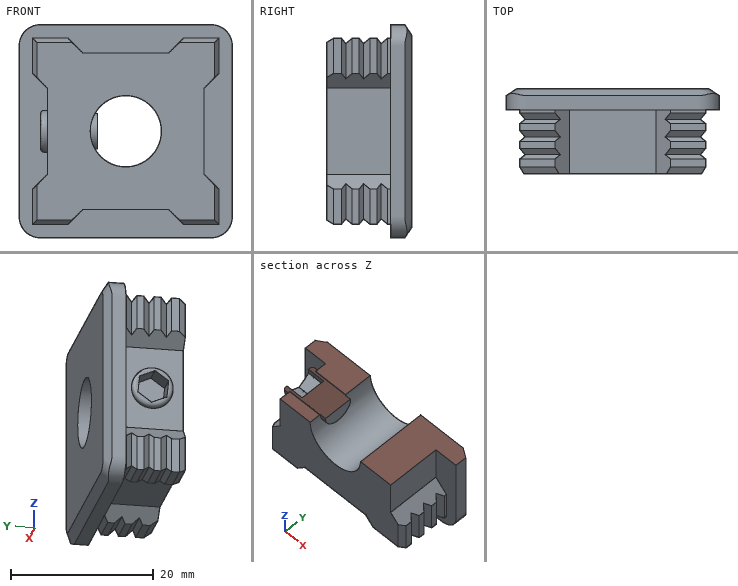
import cadquery as cq
import math


flange_width = 30.0
flange_thickness = 3.0
flange_corner_radius = 3.0
bevel_height = 1.0
bevel_inset = 1.5
bevel_corner_radius = 1.5

plug_width = 26.2
plug_length = 9.0
bore_diameter = 10.0
lead_in_height = 1.0
lead_in_depth = 0.6

groove_count = 3
groove_pitch = 2.5
groove_depth = 0.75
first_groove_start = 0.42
groove_steep_height = 0.9
groove_shallow_height = 0.6

recess_floor_width = 12.12
recess_depth = 2.07
recess_wall_angle = 45.0

head_diameter = 5.9
head_height = 0.95
head_edge_radius = 0.55
shank_diameter = 5.0
shank_length = 7.08
head_seat_x = recess_depth - plug_width / 2
screw_y = -plug_length / 2
socket_diameter = head_diameter - 2 * head_edge_radius
socket_depth = 3.0
socket_turn = 6.0


def plane_at(y):
    """Sketch plane at height y, facing -Y, with its local x along X and its local y along Z."""
    return cq.Workplane("XZ", origin=(0, y, 0))


def rounded_square_sketch(width, radius):
    """Flat square profile with rounded corners."""
    return cq.Sketch().rect(width, width).vertices().fillet(radius)


def rounded_square(y, width, radius):
    """Square with rounded corners at height y, ready to extrude."""
    return plane_at(y).placeSketch(rounded_square_sketch(width, radius))


def make_flange():
    """Rounded square plate whose back edges are bevelled."""
    plate = rounded_square(flange_thickness, flange_width, flange_corner_radius).extrude(flange_thickness)
    bevel_start = flange_thickness - bevel_height
    core = rounded_square(bevel_start, flange_width, bevel_corner_radius).extrude(bevel_start)
    back_profile = rounded_square_sketch(flange_width - 2 * bevel_inset, bevel_corner_radius)
    front_profile = rounded_square_sketch(flange_width, bevel_corner_radius)
    front_profile = front_profile.moved(cq.Location(cq.Vector(0, 0, bevel_height)))
    bevel = plane_at(flange_thickness).placeSketch(back_profile, front_profile).loft(ruled=True)
    return plate.intersect(core.union(bevel))


def square_frustum(y_start, width_start, y_end, width_end):
    """Square-section block between two heights, with straight sloping sides."""
    return (
        plane_at(y_start)
        .rect(width_start, width_start)
        .workplane(offset=y_start - y_end)
        .rect(width_end, width_end)
        .loft(ruled=True)
    )


def cut_groove(plug, depth_along_plug):
    """Remove a V groove running around all four sides, starting at the given distance from the flange."""
    start = -depth_along_plug
    valley = start - groove_steep_height
    end = valley - groove_shallow_height
    root_width = plug_width - 2 * groove_depth
    band = plane_at(start).rect(flange_width, flange_width).extrude(start - end)
    kept_core = square_frustum(start, plug_width, valley, root_width).union(
        square_frustum(valley, root_width, end, plug_width)
    )
    return plug.cut(band.cut(kept_core))


def make_recess():
    """Trapezoidal cutter for the recess on the +Z side, running the full plug length."""
    outer_z = flange_width / 2
    floor_z = plug_width / 2 - recess_depth
    spread = (outer_z - floor_z) / math.tan(math.radians(recess_wall_angle))
    half_floor = recess_floor_width / 2
    return (
        plane_at(0)
        .polyline([
            (-half_floor, floor_z),
            (half_floor, floor_z),
            (half_floor + spread, outer_z),
            (-half_floor - spread, outer_z),
        ])
        .close()
        .extrude(plug_length)
    )


def make_plug():
    """Square plug with a tapered lead-in, barbs and four side recesses."""
    lead_in_start = -plug_length + lead_in_height
    plug = plane_at(0).rect(plug_width, plug_width).extrude(-lead_in_start)
    plug = plug.union(
        square_frustum(lead_in_start, plug_width, -plug_length, plug_width - 2 * lead_in_depth)
    )
    for index in range(groove_count):
        plug = cut_groove(plug, first_groove_start + index * groove_pitch)
    recess = make_recess()
    for quarter in range(4):
        plug = plug.cut(recess.rotate((0, 0, 0), (0, 1, 0), 90 * quarter))
    return plug


def screw_plane(x):
    """Sketch plane at position x, facing +X and centred on the screw axis."""
    return cq.Workplane("YZ", origin=(x, screw_y, 0))


def make_insert():
    """Flange and plug in one piece, with the bore and the cross hole for the screw."""
    bore = plane_at(flange_thickness).circle(bore_diameter / 2).extrude(flange_thickness + plug_length)
    cross_hole = screw_plane(head_seat_x).circle(shank_diameter / 2).extrude(-head_seat_x)
    return make_flange().union(make_plug()).cut(bore).cut(cross_hole)


def make_screw():
    """Screw with a round-edged head and a hexagon socket."""
    head_face_x = head_seat_x - head_height
    head = screw_plane(head_face_x).circle(head_diameter / 2).extrude(head_height)
    head = head.faces("<X").edges().fillet(head_edge_radius)
    shank = screw_plane(head_seat_x).circle(shank_diameter / 2).extrude(shank_length)
    socket = (
        screw_plane(head_face_x)
        .transformed(rotate=(0, 0, 90 + socket_turn))
        .polygon(6, socket_diameter)
        .extrude(socket_depth)
    )
    return head.union(shank).cut(socket)


insert = make_insert()
screw = make_screw()

result = cq.Compound.makeCompound([insert.val(), screw.val()])